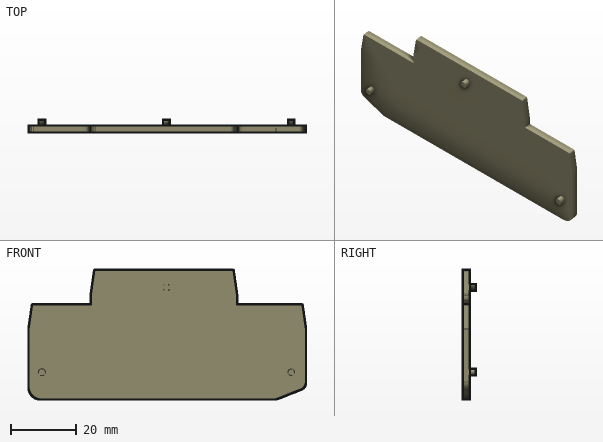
import cadquery as cq

LENGTH = 85.0
HEIGHT = 39.8
PLATE_THICKNESS = 2.2
PIN_LENGTH = 1.8

SHOULDER_Z = 29.2
SIDE_TAPER_START_Z = 21.7
TOWER_TAPER_START_Z = 32.1
TOWER_LEFT = 19.0
TOWER_RIGHT = 63.9
TAPER_INSET = 1.1

SLOPE_START_X = 75.7
SLOPE_END_Z = 3.65

LOWER_LEFT_RADIUS = 3.9
LOWER_RIGHT_RADIUS = 2.55
TAPER_BEND_RADIUS = 2.55
TOP_CORNER_RADIUS = 0.5

RIGHT_PIN_DIAMETER = 1.95
MAIN_PIN_DIAMETER = 2.1
LEFT_PIN_X = 4.2
CENTER_PIN_X = 42.25
RIGHT_PIN_X = 80.4
OUTER_PIN_Z = 8.4
CENTER_PIN_Z = 34.3
PINS = [
    (LEFT_PIN_X, OUTER_PIN_Z, MAIN_PIN_DIAMETER),
    (CENTER_PIN_X, CENTER_PIN_Z, MAIN_PIN_DIAMETER),
    (RIGHT_PIN_X, OUTER_PIN_Z, RIGHT_PIN_DIAMETER),
]


def round_corners(body, corners, radius):
    """Round the thickness-direction edges that start at the given (x, z) corners."""
    for x, z in corners:
        edge = cq.selectors.NearestToPointSelector((x, PLATE_THICKNESS / 2, z))
        body = body.edges("|Y").edges(edge).fillet(radius)
    return body


def make_plate():
    """Plate with its front face at Y = 0 and its back face at Y = PLATE_THICKNESS."""
    lower_left = (0, 0)
    lower_right = (LENGTH, SLOPE_END_Z)
    taper_bends = [
        (LENGTH, SIDE_TAPER_START_Z),
        (TOWER_RIGHT, TOWER_TAPER_START_Z),
        (TOWER_LEFT, TOWER_TAPER_START_Z),
        (0, SIDE_TAPER_START_Z),
    ]
    right_side, tower_right_side, tower_left_side, left_side = taper_bends
    right_shoulder = (LENGTH - TAPER_INSET, SHOULDER_Z)
    tower_top_right = (TOWER_RIGHT - TAPER_INSET, HEIGHT)
    tower_top_left = (TOWER_LEFT + TAPER_INSET, HEIGHT)
    left_shoulder = (TAPER_INSET, SHOULDER_Z)
    outline = [
        lower_left,
        (SLOPE_START_X, 0),
        lower_right,
        right_side,
        right_shoulder,
        (TOWER_RIGHT, SHOULDER_Z),
        tower_right_side,
        tower_top_right,
        tower_top_left,
        tower_left_side,
        (TOWER_LEFT, SHOULDER_Z),
        left_shoulder,
        left_side,
    ]
    plate = cq.Workplane("XZ").polyline(outline).close().extrude(-PLATE_THICKNESS)
    plate = round_corners(plate, [lower_left], LOWER_LEFT_RADIUS)
    plate = round_corners(plate, [lower_right], LOWER_RIGHT_RADIUS)
    plate = round_corners(plate, taper_bends, TAPER_BEND_RADIUS)
    top_corners = [right_shoulder, tower_top_right, tower_top_left, left_shoulder]
    return round_corners(plate, top_corners, TOP_CORNER_RADIUS)


def make_pin(x, z, diameter):
    """Round pin running from the front face through the plate and out of its back."""
    pin = cq.Workplane("XZ").center(x, z).circle(diameter / 2)
    return pin.extrude(-(PLATE_THICKNESS + PIN_LENGTH))


result = make_plate()
for pin_x, pin_z, pin_diameter in PINS:
    result = result.union(make_pin(pin_x, pin_z, pin_diameter))
result = result.clean()